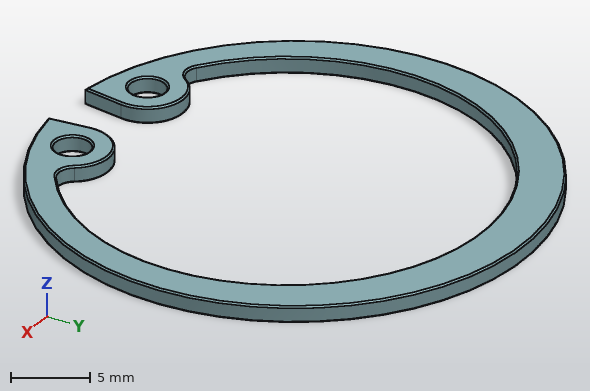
import cadquery as cq
import math

OUTER_RADIUS = 17.15
BORE_RADIUS = 14.6
BORE_OFFSET = -0.62
THICKNESS = 1.2
LUG_X = 4.45
LUG_Y = -13.8
LUG_RADIUS = 2.68
HOLE_DIAMETER = 2.5
ROOT_FILLET = 1.2
EDGE_CHAMFER = 0.12


def polar(center, radius, angle):
    """Point on a circle, at an angle in radians."""
    return (center[0] + radius * math.cos(angle), center[1] + radius * math.sin(angle))


def direction(start, end):
    """Angle in radians of the line from start to end."""
    return math.atan2(end[1] - start[1], end[0] - start[0])


def mirrored(point):
    """Point reflected across the Y axis."""
    return (-point[0], point[1])


ring_center = (0.0, 0.0)
bore_center = (0.0, BORE_OFFSET)
lug = (LUG_X, LUG_Y)

lug_distance = math.hypot(*lug)
wall_angle = direction(ring_center, lug) - math.asin(LUG_RADIUS / lug_distance)

to_lug = LUG_RADIUS + ROOT_FILLET
to_bore = BORE_RADIUS - ROOT_FILLET
center_distance = math.dist(bore_center, lug)
cos_at_bore = (to_bore**2 + center_distance**2 - to_lug**2) / (2 * to_bore * center_distance)
root_angle = direction(bore_center, lug) + math.acos(cos_at_bore)
root_center = polar(bore_center, to_bore, root_angle)

tip = polar(ring_center, OUTER_RADIUS, wall_angle)
wall_top = polar(ring_center, math.sqrt(lug_distance**2 - LUG_RADIUS**2), wall_angle)
lug_end_angle = direction(lug, root_center)
lug_end = polar(lug, LUG_RADIUS, lug_end_angle)
lug_start_angle = direction(lug, wall_top) % (2 * math.pi)
lug_mid = polar(lug, LUG_RADIUS, (lug_start_angle + lug_end_angle) / 2)
root_end = polar(bore_center, BORE_RADIUS, root_angle)
chord_mid = ((lug_end[0] + root_end[0]) / 2, (lug_end[1] + root_end[1]) / 2)
root_mid = polar(root_center, ROOT_FILLET, direction(root_center, chord_mid))
outer_top = (0.0, OUTER_RADIUS)
bore_top = (0.0, BORE_OFFSET + BORE_RADIUS)

outline = (
    cq.Workplane("XY")
    .moveTo(*tip)
    .lineTo(*wall_top)
    .threePointArc(lug_mid, lug_end)
    .threePointArc(root_mid, root_end)
    .threePointArc(bore_top, mirrored(root_end))
    .threePointArc(mirrored(root_mid), mirrored(lug_end))
    .threePointArc(mirrored(lug_mid), mirrored(wall_top))
    .lineTo(*mirrored(tip))
    .threePointArc(outer_top, tip)
    .close()
)

ring = outline.extrude(THICKNESS)
plier_holes = (
    cq.Workplane("XY")
    .pushPoints([lug, mirrored(lug)])
    .circle(HOLE_DIAMETER / 2)
    .extrude(THICKNESS)
)

result = ring.cut(plier_holes).faces("|Z").edges().chamfer(EDGE_CHAMFER)